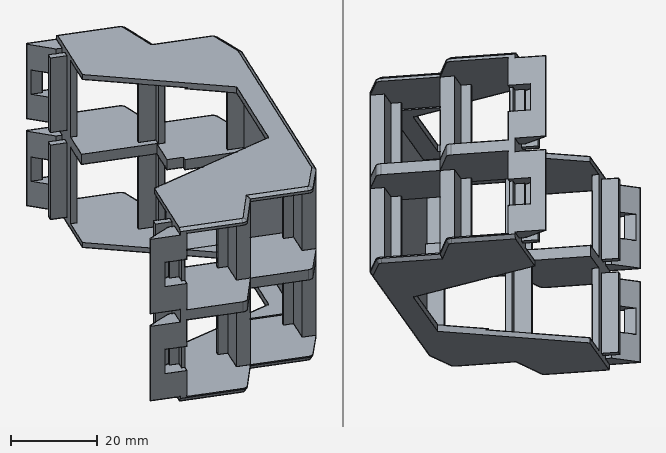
import cadquery as cq
length = 99.0
depth = 38.6
height = 45.2
half_length = length / 2
half_height = height / 2

low_corner_y = 16.0
step_x = 39.0
step_y = 20.0
high_corner_y = 34.9
back_flat_x = 29.7
corner_radius = 1.5
rim_chamfer_height = 0.6
rim_chamfer_width = 1.0

plate_thickness = 1.3
mid_plate_thickness = 2.7
opening_front_x = 28.7
opening_back_x = 12.8
opening_depth = 32.3
pad_half_length = 18.1
pad_thickness = 0.3

mid_inner_x = 20.2
mid_step_left_x = 21.4
mid_step_right_x = 22.7
mid_outer_x = 29.5
mid_inner_y = 22.1
mid_step_y = 18.1

back_wall_thickness = 1.8
step_panel_thickness = 1.6
post_thickness = 3.4
post_length = 6.8
lip_length = 1.0
lip_depth = 5.7
step_panel_length = 9.8
front_wall_thickness = 1.6
front_wall_length = 11.3

bay_height = 19.5
bay_pitch = 22.8
clip_reach = 7.2
clip_width = 4.6
clip_tip_width = 0.4
clip_shoulder = 1.5
rib_x = 42.8
rib_thickness = 1.7
rib_reach = 4.0

window_height = 6.3
clip_skin = 1.0
window_front_y = -3.7
window_wall_x = 47.9
window_web_y = 0.8
window_inner_x = 45.8

bay_centers = (-bay_pitch / 2, bay_pitch / 2)


def prism(points, z_center, thickness):
    """Extrude an XY outline symmetrically about z_center."""
    return (
        cq.Workplane("XY", origin=(0, 0, z_center - thickness / 2))
        .polyline(points)
        .close()
        .extrude(thickness)
    )


def block(x_range, y_range, z_center=0, thickness=height):
    """Box spanning the given X and Y ranges, centred on z_center."""
    (x0, x1), (y0, y1) = x_range, y_range
    return prism([(x0, y0), (x1, y0), (x1, y1), (x0, y1)], z_center, thickness)


def mirrored_outline(left_points):
    """Complete an outline from its left half, listed from the front to the back."""
    return left_points + [(-x, y) for x, y in reversed(left_points)]


def envelope():
    """Full-height stepped body with rounded shoulders and chamfered rims."""
    outline = mirrored_outline([
        (-half_length, 0),
        (-half_length, low_corner_y),
        (-step_x, step_y),
        (-step_x, high_corner_y),
        (-back_flat_x, depth),
    ])
    body = prism(outline, 0, height)
    shoulders = [
        (sign * x, y, 0)
        for sign in (-1, 1)
        for x, y in ((half_length, low_corner_y), (step_x, high_corner_y))
    ]
    for shoulder in shoulders:
        body = body.edges(cq.selectors.NearestToPointSelector(shoulder)).fillet(corner_radius)
    return body.faces("<Z or >Z").edges("not <Y").chamfer(rim_chamfer_height, rim_chamfer_width)


def outer_plates():
    """Top and bottom plates with the tapered opening, thickened across the middle."""
    plates = cq.Workplane("XY")
    opening = prism(
        mirrored_outline([(-opening_front_x, 0), (-opening_back_x, opening_depth)]), 0, height
    )
    for side in (-1, 1):
        plate_z = side * (half_height - plate_thickness / 2)
        pad_z = side * (half_height - plate_thickness - pad_thickness / 2)
        plates = plates.union(
            block((-half_length, half_length), (0, depth), plate_z, plate_thickness)
        )
        plates = plates.union(
            block((-pad_half_length, pad_half_length), (0, depth), pad_z, pad_thickness)
        )
    return plates.cut(opening)


def back_wall():
    return block((-back_flat_x, back_flat_x), (depth - back_wall_thickness, depth))


def post(outer_x, back_y):
    """Thick outer end of a wall on the left side, with its forward lip."""
    inner_x = outer_x + post_length
    thick_end = block((outer_x, inner_x), (back_y - post_thickness, back_y))
    lip = block((inner_x, inner_x + lip_length), (back_y - lip_depth, back_y))
    return thick_end.union(lip)


def left_frame(mid_step_x):
    """Left half of the middle plate, with the upright walls at that end."""
    mid_plate = prism(
        [
            (-half_length, 0),
            (-mid_outer_x, 0),
            (-mid_outer_x, mid_step_y),
            (-mid_step_x, mid_step_y),
            (-mid_step_x, mid_inner_y),
            (-mid_inner_x, mid_inner_y),
            (-mid_inner_x, depth),
            (-half_length, depth),
        ],
        0,
        mid_plate_thickness,
    )
    step_panel = block(
        (-step_x, -step_x + step_panel_length), (step_y - step_panel_thickness, step_y)
    )
    front_wall = block((-half_length, -half_length + front_wall_length), (0, front_wall_thickness))
    return (
        mid_plate.union(post(-back_flat_x, depth))
        .union(post(-step_x, step_y))
        .union(step_panel)
        .union(front_wall)
    )


def left_clip(z_center):
    """Wedge-shaped snap clip."""
    clip_inner_x = -half_length + clip_width
    return prism(
        [
            (-half_length, 0),
            (-half_length, -clip_reach),
            (-half_length + clip_tip_width, -clip_reach),
            (clip_inner_x, -clip_shoulder),
            (clip_inner_x, 0),
        ],
        z_center,
        bay_height,
    )


def left_window(z_center):
    """Latch window: open outward through the skin and forward through the wedge face."""
    skin_x = -half_length + clip_skin
    clip_inner_x = -half_length + clip_width
    return prism(
        [
            (-half_length, front_wall_thickness),
            (-window_wall_x, front_wall_thickness),
            (-window_wall_x, window_web_y),
            (-window_inner_x, window_web_y),
            (-window_inner_x, -clip_shoulder),
            (clip_inner_x, -clip_shoulder),
            (clip_inner_x, -clip_reach),
            (skin_x, -clip_reach),
            (skin_x, window_front_y),
            (-half_length, window_front_y),
        ],
        z_center,
        window_height,
    )


def left_rib(z_center):
    return block((-rib_x, -rib_x + rib_thickness), (-rib_reach, 0), z_center, bay_height)


def left_end(mid_step_x):
    """Everything on the left half except the outer plates and back wall."""
    end = left_frame(mid_step_x).intersect(envelope())
    for bay_z in bay_centers:
        end = end.union(left_clip(bay_z)).union(left_rib(bay_z)).cut(left_window(bay_z))
    return end


center = outer_plates().union(back_wall()).intersect(envelope())
right_end = left_end(mid_step_right_x).mirror("YZ")
result = center.union(left_end(mid_step_left_x)).union(right_end).clean()